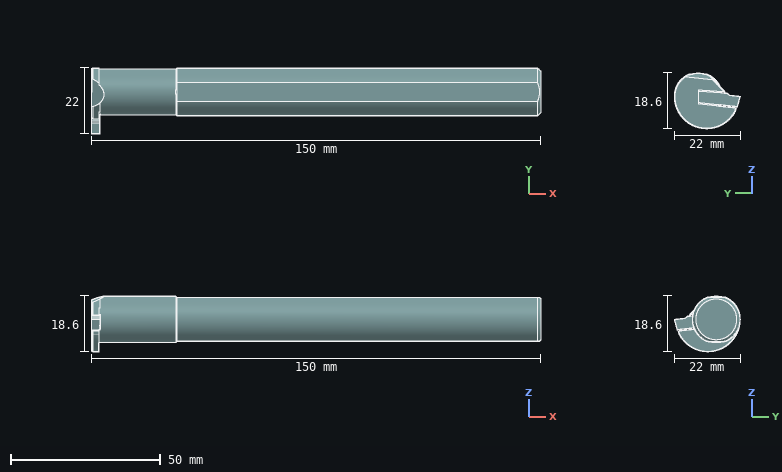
import cadquery as cq
import math

total_length = 150.0

shank_diameter = 16.0
shank_radius = shank_diameter / 2
width_over_flats = 14.7
flat_start_x = 28.5
tail_chamfer = 1.2

neck_diameter = 15.5
neck_radius = neck_diameter / 2
neck_end_x = 28.25

head_front_x = 0.1
head_back_x = 2.5
head_radius = 10.8
head_center_y = shank_radius - head_radius
flank_angle = math.radians(44)
flank_distance = 7.5
head_chamfer_width = 0.2
head_chamfer_length = 0.4
toe_relief_z = -5.0

seat_tilt_deg = 6.2
bevel_front_height = 6.0
bevel_length = 4.2
bevel_slope = (neck_radius - bevel_front_height) / bevel_length

insert_width = 2.8
seat_gap = 0.4
back_gap = 0.3
pocket_depth = insert_width + back_gap
insert_top_z = 1.75
insert_bottom_z = -2.05
insert_top_slope = math.tan(math.radians(4))
insert_bottom_slope = math.tan(math.radians(seat_tilt_deg))
cutting_edge_y = -14.0
clearance_foot_y = -13.05
rake_step_y = -9.6
rake_back_y = -10.4
rake_back_z = 0.4


def insert_top_at(y):
    """Height of the insert's upper seat line at y."""
    return insert_top_z + insert_top_slope * y


def insert_bottom_at(y):
    """Height of the insert's lower seat line at y."""
    return insert_bottom_z + insert_bottom_slope * y


def make_shank():
    """Round shank with chamfered ends."""
    profile = [
        (neck_end_x, 0),
        (neck_end_x, neck_radius),
        (neck_end_x + shank_radius - neck_radius, shank_radius),
        (total_length - tail_chamfer, shank_radius),
        (total_length, shank_radius - tail_chamfer),
        (total_length, 0),
    ]
    return cq.Workplane("XY").polyline(profile).close().revolve(360, (0, 0, 0), (1, 0, 0))


def make_flat_cutter(side):
    """Cutter for the flat above (side = 1) or below (side = -1), with a 45 degree run-out at the neck."""
    flat_z = width_over_flats / 2
    outline = [
        (flat_start_x, side * flat_z),
        (total_length, side * flat_z),
        (total_length, side * shank_radius),
        (flat_start_x - (shank_radius - flat_z), side * shank_radius),
    ]
    return cq.Workplane("XZ").polyline(outline).close().extrude(shank_radius, both=True)


def make_neck():
    """Round neck behind the head, with the head's flank running a little way into it."""
    neck_length = neck_end_x - head_back_x
    neck = cq.Workplane("YZ", origin=(head_back_x, 0, 0)).circle(neck_radius).extrude(neck_length)
    flank_cutter = (
        cq.Workplane("XY")
        .box(insert_width, neck_radius, neck_diameter, centered=(False, False, True))
        .translate((0, -flank_distance - neck_radius, 0))
        .rotate((0, 0, 0), (1, 0, 0), -math.degrees(flank_angle))
    )
    return neck.cut(flank_cutter)


def make_head():
    """Disc whose upper side follows the shank and drops along a flat flank, with a relieved toe."""
    flank_start_angle = math.pi - flank_angle - math.acos(flank_distance / shank_radius)
    flank_start = (shank_radius * math.cos(flank_start_angle), shank_radius * math.sin(flank_start_angle))
    flank_foot = (-flank_distance / math.cos(flank_angle), 0)
    arc_middle_angle = flank_start_angle / 2
    arc_middle = (shank_radius * math.cos(arc_middle_angle), shank_radius * math.sin(arc_middle_angle))

    toe_bottom_y = head_center_y - math.sqrt(head_radius**2 - toe_relief_z**2)
    clearance_slope = (clearance_foot_y - cutting_edge_y) / insert_bottom_at(clearance_foot_y)
    toe_top = (toe_bottom_y - clearance_slope * toe_relief_z, 0)
    return (
        cq.Workplane("YZ", origin=(head_front_x, 0, 0))
        .moveTo(*flank_foot)
        .lineTo(*flank_start)
        .threePointArc(arc_middle, (shank_radius, 0))
        .threePointArc((head_center_y, -head_radius), (toe_bottom_y, toe_relief_z))
        .lineTo(*toe_top)
        .close()
        .extrude(head_back_x - head_front_x)
        .faces("<X")
        .chamfer(head_chamfer_length, head_chamfer_width)
    )


def make_bevel_cutter():
    """Wedge that slopes the top of the head down to the front, tilted about the X axis."""
    reach = 2 * bevel_length
    wedge = [
        (-reach, bevel_front_height - reach * bevel_slope),
        (reach, bevel_front_height + reach * bevel_slope),
        (-reach, bevel_front_height + reach * bevel_slope),
    ]
    return (
        cq.Workplane("XZ")
        .polyline(wedge)
        .close()
        .extrude(shank_diameter, both=True)
        .rotate((0, 0, 0), (1, 0, 0), seat_tilt_deg)
    )


def make_pocket_cutter():
    """Slot clear of the insert above, below and behind, open to the front and past the cutting edge."""
    open_y = cutting_edge_y - insert_width
    outline = [
        (0, insert_bottom_at(0) - seat_gap),
        (0, insert_top_at(0) + seat_gap),
        (open_y, insert_top_at(open_y) + seat_gap),
        (open_y, insert_bottom_at(open_y) - seat_gap),
    ]
    return cq.Workplane("YZ").polyline(outline).close().extrude(pocket_depth)


def make_holder():
    """One-piece bar: head, neck and shank."""
    bar = make_shank().union(make_neck()).union(make_head())
    for side in (1, -1):
        bar = bar.cut(make_flat_cutter(side))
    return bar.cut(make_bevel_cutter()).cut(make_pocket_cutter())


def make_insert():
    """Blade insert with a stepped rake face and a relieved end face."""
    outline = [
        (0, insert_bottom_at(0)),
        (0, insert_top_at(0)),
        (rake_step_y, insert_top_at(rake_step_y)),
        (rake_back_y, rake_back_z),
        (cutting_edge_y, 0),
        (clearance_foot_y, insert_bottom_at(clearance_foot_y)),
    ]
    return cq.Workplane("YZ").polyline(outline).close().extrude(insert_width)


holder = make_holder()
insert = make_insert()

result = cq.Compound.makeCompound([holder.val(), insert.val()])